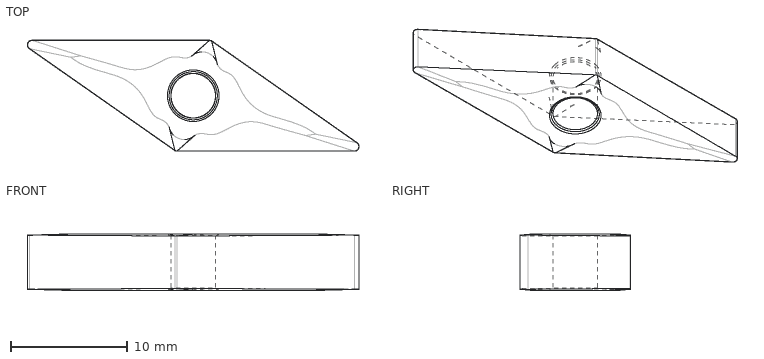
import cadquery as cq
import math

inscribed_circle = 9.525
nose_angle = math.radians(35)
nose_radius = 0.4
blunt_radius = 0.3
overall_thickness = 4.86
nose_height = 2.325
blunt_height = 2.25

hole_diameter = 3.81
hole_mouth_diameter = 4.43
hole_step_diameter = 4.14
hole_step_depth = 0.13
hole_bore_depth = 0.20

half_width = inscribed_circle / 2
half_side = half_width / math.sin(nose_angle)
sharp_corner_x = half_side + half_width / math.tan(nose_angle)
blunt_corner_x = sharp_corner_x - 2 * half_side
plateau_height = overall_thickness / 2

plateau_tip = (-10.5, 3.30)
tip_shoulder = (-9.64, 3.42)
long_side_bends = [
    (-8.29, 3.05), (-6.85, 2.63), (-5.16, 2.23),
    (-3.59, 2.53), (-1.46, 3.34), (-0.71, 3.24),
]
lobe_start = (-0.13, 3.40)
lobe_top = (0.73, 3.76)
lobe_end = (2.07, 2.67)
slant_side_bends = [
    (2.74, 2.06), (3.10, 1.90), (4.09, 0.46), (5.34, -1.05),
    (6.30, -1.59), (7.93, -2.10), (9.46, -2.65),
]


def at_height(point, height):
    return cq.Vector(point[0], point[1], height)


def half_turn(shape):
    return shape.rotate(cq.Vector(0, 0, 0), cq.Vector(0, 0, 1), 180)


def plateau_edges():
    """Nose, long side, blunt corner and slanted side of the plateau outline."""
    far_tip = (-plateau_tip[0], -plateau_tip[1])

    def lift(point):
        return at_height(point, plateau_height)

    def smooth_run(points):
        return cq.Edge.makeSpline([lift(point) for point in points])

    half = [
        cq.Edge.makeLine(lift(plateau_tip), lift(tip_shoulder)),
        smooth_run([tip_shoulder, *long_side_bends, lobe_start]),
        cq.Edge.makeThreePointArc(lift(lobe_start), lift(lobe_top), lift(lobe_end)),
        smooth_run([lobe_end, *slant_side_bends, far_tip]),
    ]
    return half + [half_turn(edge) for edge in half]


def corner_arc(corner_x, radius, half_angle, facing, height):
    """Rounded +Y corner, clockwise; facing is the direction of its bisector from the centre."""
    centre_y = half_width - radius
    inward = radius / math.tan(half_angle)
    centre_x = corner_x - math.copysign(inward, math.cos(facing))
    sweep = math.pi / 2 - half_angle
    angles = [facing + sweep, facing, facing - sweep]
    points = [(centre_x + radius * math.cos(a), centre_y + radius * math.sin(a)) for a in angles]
    return [at_height(point, height) for point in points]


def cutting_edges():
    """Cutting edge outline, in the same order as the plateau outline."""
    nose = corner_arc(-sharp_corner_x, nose_radius, nose_angle / 2,
                      math.pi - nose_angle / 2, nose_height)
    blunt = corner_arc(-blunt_corner_x, blunt_radius, (math.pi - nose_angle) / 2,
                       (math.pi - nose_angle) / 2, blunt_height)
    far_nose_start = cq.Vector(-nose[0].x, -nose[0].y, nose_height)
    half = [
        cq.Edge.makeThreePointArc(*nose),
        cq.Edge.makeLine(nose[2], blunt[0]),
        cq.Edge.makeThreePointArc(*blunt),
        cq.Edge.makeLine(blunt[2], far_nose_start),
    ]
    return half + [half_turn(edge) for edge in half]


def make_insert_body():
    """Sides, gently sloping chip faces and plateaus, sewn into one solid."""
    inner = plateau_edges()
    outer = cutting_edges()
    upper = [cq.Face.makeRuledSurface(rim, edge) for rim, edge in zip(outer, inner)]
    upper.append(cq.Face.makeFromWires(cq.Wire.assembleEdges(inner)))
    lower = [face.mirror("XY") for face in upper]
    sides = [cq.Face.makeRuledSurface(edge.mirror("XY"), edge) for edge in outer]
    shell = cq.Shell.makeShell(upper + lower + sides)
    return cq.Workplane(obj=cq.Solid.makeSolid(shell).fix())


def make_hole():
    """Through hole with a two-cone entry at each end, as a solid of revolution."""
    mouth = (hole_mouth_diameter / 2, plateau_height)
    step = (hole_step_diameter / 2, plateau_height - hole_step_depth)
    bore = (hole_diameter / 2, plateau_height - hole_bore_depth)
    upper = [(0, plateau_height), mouth, step, bore]
    lower = [(radius, -height) for radius, height in reversed(upper)]
    return (
        cq.Workplane("XZ")
        .polyline(upper + lower)
        .close()
        .revolve(360, (0, 0, 0), (0, 1, 0))
    )


result = make_insert_body().cut(make_hole()).solids()